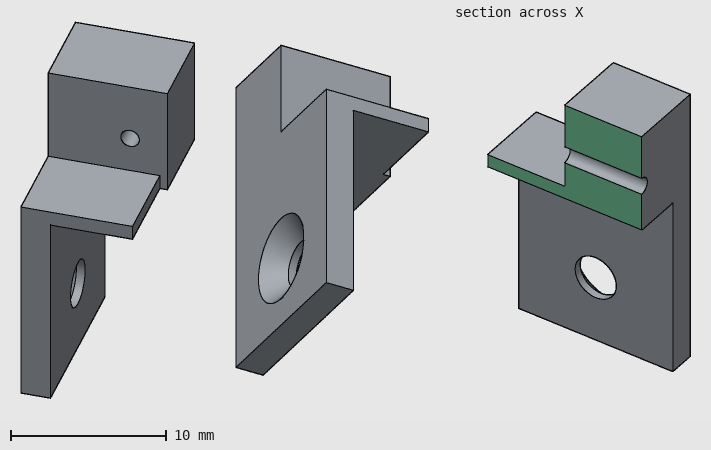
import cadquery as cq

width = 8.0
depth = 12.0
height = 21.0

plate_thickness = 2.0
block_depth = depth / 2
block_height = 7.5
shelf_width = 7.5
shelf_thickness = 1.0
shelf_top = height - block_height + shelf_thickness
block_front = depth - block_depth

pin_diameter = 1.24
pin_x = 5.5
pin_below_top = 4.0

screw_diameter = 3.2
sink_diameter = 6.0
sink_angle = 90.0
screw_y = depth / 2
screw_z = 5.0


def box(size_x, size_y, size_z, y, z):
    """Box with its -X face on x = 0 and its lower front edge at y, z."""
    return cq.Workplane("XY").box(size_x, size_y, size_z, centered=False).translate((0, y, z))


plate = box(plate_thickness, depth, shelf_top, 0, 0)
block = box(width, block_depth, block_height, block_front, height - block_height)
shelf = box(shelf_width, depth, shelf_thickness, 0, shelf_top - shelf_thickness)
body = plate.union(block).union(shelf)

pin_hole = (
    cq.Workplane("XZ", origin=(pin_x, depth, height - pin_below_top))
    .circle(pin_diameter / 2)
    .extrude(depth)
)
body = body.cut(pin_hole)

result = (
    body.faces("<X")
    .workplane(origin=(0, screw_y, screw_z))
    .cskHole(screw_diameter, sink_diameter, sink_angle, depth=plate_thickness)
)